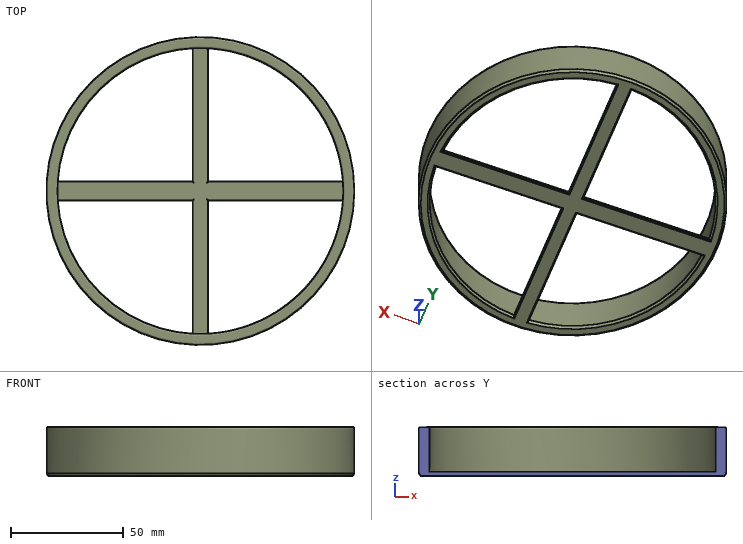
import cadquery as cq

outer_diameter = 137.5
inner_diameter = 127.5
ring_height = 22.0
ring_top_fillet = 1.0
ring_bottom_chamfer_height = 1.2
ring_bottom_chamfer_width = 1.0

bar_along_x_width = 8.5
bar_along_y_width = 7.0
bar_thickness = 2.0
bar_top_fillet = 0.7
bar_bottom_chamfer = 0.5

bar_length = (outer_diameter + inner_diameter) / 2


def make_ring():
    """Ring with rounded top rims and chamfered bottom rims, revolved about Z."""
    outer_radius = outer_diameter / 2
    inner_radius = inner_diameter / 2
    fillet_start = ring_height - ring_top_fillet
    profile = (
        cq.Workplane("XZ")
        .moveTo(inner_radius + ring_bottom_chamfer_width, 0)
        .lineTo(outer_radius - ring_bottom_chamfer_width, 0)
        .lineTo(outer_radius, ring_bottom_chamfer_height)
        .lineTo(outer_radius, fillet_start)
        .radiusArc((outer_radius - ring_top_fillet, ring_height), -ring_top_fillet)
        .lineTo(inner_radius + ring_top_fillet, ring_height)
        .radiusArc((inner_radius, fillet_start), -ring_top_fillet)
        .lineTo(inner_radius, ring_bottom_chamfer_height)
        .close()
    )
    return profile.revolve(360, (0, 0, 0), (0, 1, 0))


def make_bar(size_x, size_y):
    """Flat bar centred on the ring axis, resting on the bottom plane."""
    return cq.Workplane("XY").box(size_x, size_y, bar_thickness, centered=(True, True, False))


def make_cross():
    """Crossed bars with rounded top edges and chamfered bottom edges along their length."""
    bar_along_x = make_bar(bar_length, bar_along_x_width)
    bar_along_y = make_bar(bar_along_y_width, bar_length)
    cross = bar_along_x.union(bar_along_y)

    inner_radius = inner_diameter / 2
    long_edges = cq.selectors.BoxSelector(
        (-inner_radius, -inner_radius, -bar_thickness),
        (inner_radius, inner_radius, 2 * bar_thickness),
    )
    cross = cross.faces(">Z").edges(long_edges).fillet(bar_top_fillet)
    return cross.faces("<Z").edges(long_edges).chamfer(bar_bottom_chamfer)


result = make_ring().union(make_cross())